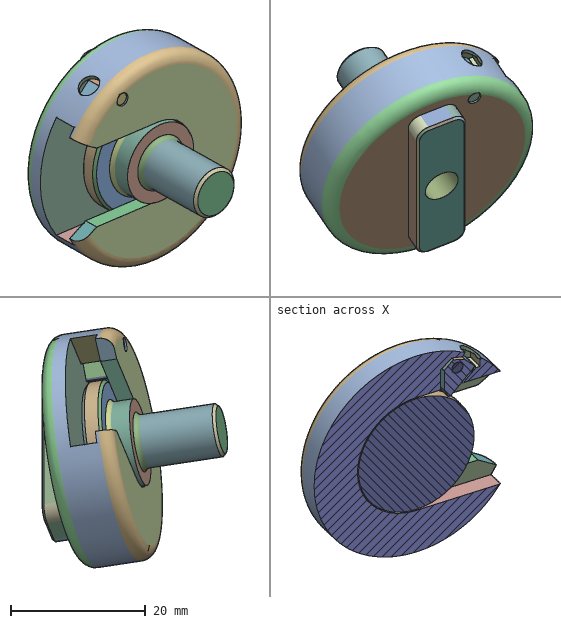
import cadquery as cq
import math


disc_radius = 17.5
disc_thickness = 10.53
disc_fillet = 2.0
key_height = 2.97
key_width = 8.1
key_length = 28.05
key_corner_radius = 2.0
key_chamfer = 0.35
centre_hole_diameter = 5.5
centre_hole_depth = 4.2
centre_hole_tip_angle = 118.0

slot_floor_x = 4.02
lip_x = 8.05
slot_half_width = 10.0
lip_half_width = 6.68
lip_mouth_half_width = 8.57
lip_flare_depth = 3.15
lip_mouth_y = -math.sqrt(disc_radius**2 - lip_mouth_half_width**2)
slot_outer_y = -disc_radius - 1.75

stud_end_x = 23.55
shank_radius = 8.0 / 2
shank_chamfer = 0.45
collar_radius = 13.0 / 2
collar_end_x = 11.1
flange_radius = 19.8 / 2
flange_start_x = 4.5
flange_end_x = 7.52
flange_front_chamfer = 0.52
flange_back_chamfer = 0.42
neck_length = 0.77
neck_rise = 0.42
shank_root_length = 0.9
shank_root_rise = 0.5

pivot_y = -7.0
pivot_z = 13.08
pivot_diameter = 2.0
pivot_hole_diameter = 2.1
pivot_recess = 0.28
pawl_width = 3.5
pawl_centre_x = (slot_floor_x + lip_x) / 2
pocket_width = lip_x - slot_floor_x
access_diameter = 3.5
access_angle = 56.3
access_depth = 2.8

pawl_corners = [
    (-10.07, 12.35), (-8.22, 14.2), (-6.3, 14.72), (-4.72, 13.3),
    (-4.72, 9.8), (-5.45, 8.4), (-5.75, 8.4), (-6.0, 8.55),
]

pocket_corners = [
    (-10.85, 12.05), (-10.15, 12.05), (-7.7, 9.8), (-4.2, 9.8),
    (-4.2, 13.65), (-6.12, 15.05), (-8.4, 14.55), (-10.85, 13.3),
]


def plate(corners, start_x, width):
    """Polygon in the YZ plane, extruded along +X."""
    return cq.Workplane("YZ").workplane(offset=start_x).polyline(corners).close().extrude(width)


def rod(diameter, start_x, length, y=0.0, z=0.0):
    """Cylinder along +X."""
    return cq.Workplane("YZ").workplane(offset=start_x).center(y, z).circle(diameter / 2).extrude(length)


def make_key():
    key = cq.Workplane("YZ").rect(key_width, key_length).extrude(-key_height)
    return key.edges("|X").fillet(key_corner_radius).faces("<X").chamfer(key_chamfer)


def make_centre_hole():
    """Drilled hole in the front of the key, with a conical bottom."""
    radius = centre_hole_diameter / 2
    tip_length = radius / math.tan(math.radians(centre_hole_tip_angle / 2))
    tip_start = cq.Vector(centre_hole_depth - key_height, 0, 0)
    tip = cq.Solid.makeCone(radius, 0, tip_length, tip_start, cq.Vector(1, 0, 0))
    return rod(centre_hole_diameter, -key_height, centre_hole_depth).union(cq.Workplane(tip))


def make_wide_slot():
    """Rear part of the T-slot, which takes the stud flange."""
    width = lip_x - slot_floor_x
    channel = plate(
        [(0, -slot_half_width), (0, slot_half_width),
         (slot_outer_y, slot_half_width), (slot_outer_y, -slot_half_width)],
        slot_floor_x, width,
    )
    return channel.union(rod(2 * slot_half_width, slot_floor_x, width))


def make_lip_slot():
    """Narrow part of the T-slot, flared at its mouth."""
    width = disc_thickness - lip_x
    flare_slope = (lip_mouth_half_width - lip_half_width) / lip_flare_depth
    flare_start_y = lip_mouth_y + lip_flare_depth
    outer_half_width = lip_half_width + flare_slope * (flare_start_y - slot_outer_y)
    upper = [
        (0, lip_half_width),
        (flare_start_y, lip_half_width),
        (slot_outer_y, outer_half_width),
    ]
    lower = [(y, -z) for y, z in reversed(upper)]
    return plate(upper + lower, lip_x, width).union(rod(2 * lip_half_width, lip_x, width))


def make_access_hole():
    """Radial hole from the rim down to the pawl."""
    angle = math.radians(access_angle)
    outward = cq.Vector(0, -math.cos(angle), math.sin(angle))
    start = outward * (disc_radius - access_depth) + cq.Vector(pawl_centre_x, 0, 0)
    return cq.Workplane(cq.Solid.makeCylinder(access_diameter / 2, 2 * access_depth, start, outward))


def make_housing():
    disc = rod(2 * disc_radius, 0, disc_thickness).edges().fillet(disc_fillet)
    body = disc.union(make_key())
    body = body.cut(make_centre_hole())
    body = body.cut(make_wide_slot())
    body = body.cut(make_lip_slot())
    body = body.cut(plate(pocket_corners, slot_floor_x, pocket_width))
    body = body.cut(make_access_hole())
    return body.cut(rod(pivot_hole_diameter, 0, disc_thickness, pivot_y, pivot_z))


def make_stud():
    """Flange, collar and shank, turned about the X axis."""
    profile = (
        cq.Workplane("XY")
        .moveTo(flange_start_x, 0)
        .lineTo(stud_end_x, 0)
        .lineTo(stud_end_x, shank_radius - shank_chamfer)
        .lineTo(stud_end_x - shank_chamfer, shank_radius)
        .lineTo(collar_end_x + shank_root_length, shank_radius)
        .tangentArcPoint((collar_end_x, shank_radius + shank_root_rise), relative=False)
        .lineTo(collar_end_x, collar_radius)
        .lineTo(flange_end_x + neck_length, collar_radius)
        .tangentArcPoint((flange_end_x, collar_radius + neck_rise), relative=False)
        .lineTo(flange_end_x, flange_radius - flange_back_chamfer)
        .lineTo(flange_end_x - flange_back_chamfer, flange_radius)
        .lineTo(flange_start_x + flange_front_chamfer, flange_radius)
        .lineTo(flange_start_x, flange_radius - flange_front_chamfer)
        .close()
    )
    return profile.revolve(360, (0, 0, 0), (1, 0, 0))


def make_pivot_pin():
    return rod(pivot_diameter, pivot_recess, disc_thickness - 2 * pivot_recess, pivot_y, pivot_z)


def make_pawl():
    """Latch that closes the T-slot behind the stud flange."""
    blank = plate(pawl_corners, pawl_centre_x - pawl_width / 2, pawl_width)
    return blank.cut(rod(pivot_diameter, 0, disc_thickness, pivot_y, pivot_z))


housing = make_housing()
stud = make_stud()
pivot_pin = make_pivot_pin()
pawl = make_pawl()

result = cq.Compound.makeCompound([housing.val(), stud.val(), pivot_pin.val(), pawl.val()])